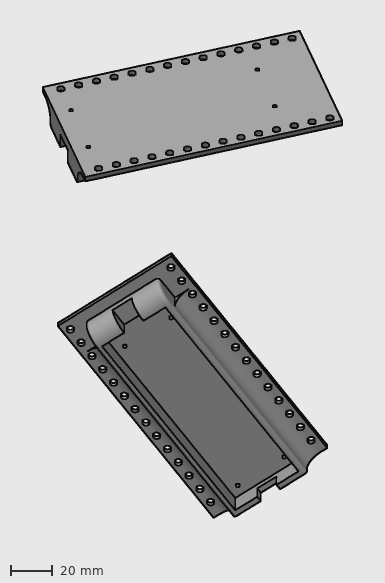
import cadquery as cq

plate_width = 67.0
plate_length = 130.0
plate_thickness = 3.0

total_height = 15.0
keel_width = 43.3
rear_overhang = 6.0
keel_length = plate_length - rear_overhang
rear_corner_radius = 10.0
keel_edge_radius = 2.0

flare_radius = 8.0
flare_rear_gap = 19.8
flare_length = plate_length - flare_rear_gap

keel_wall = 3.0
cavity_width = keel_width - 2 * keel_wall
cavity_length = keel_length - rear_corner_radius - keel_wall
cavity_depth = total_height - plate_thickness

slot_width = 11.3
slot_depth = 8.0

edge_hole_diameter = 3.6
edge_hole_count = 14
edge_row_length = 117.0
edge_row_spacing = 59.3
first_hole_y = 7.9
edge_hole_pitch = edge_row_length / (edge_hole_count - 1)

small_hole_diameter = 1.8
small_hole_spacing_x = 27.3
small_hole_spacing_y = 94.2


def make_plate():
    return cq.Workplane("XY").box(
        plate_width, plate_length, plate_thickness, centered=(True, False, False)
    ).translate((0, 0, -plate_thickness))


def make_keel():
    """Block with a large lower rear corner and a small round along its side edges."""
    keel = cq.Workplane("XY").box(
        keel_width, keel_length, total_height - plate_thickness, centered=(True, False, False)
    ).translate((0, 0, -total_height))
    keel = keel.faces(">Y").edges("<Z").fillet(rear_corner_radius)
    keel = keel.faces("<Z").edges("|Y").fillet(keel_edge_radius)
    return keel


def make_flare(side):
    """Concave flare on one keel side; side is -1 or 1."""
    wall_x = side * keel_width / 2
    plate_bottom = -plate_thickness
    outer_x = wall_x + side * flare_radius
    centre_z = plate_bottom - flare_radius
    strip_width = 2 * flare_radius
    strip = cq.Workplane("XY").box(
        strip_width, flare_length, flare_radius, centered=(True, False, False)
    ).translate((wall_x, 0, centre_z))
    scoop = (
        cq.Workplane("XZ")
        .center(outer_x, centre_z)
        .circle(flare_radius)
        .extrude(-flare_length)
    )
    return strip.cut(scoop)


def drill(points, diameter):
    return cq.Workplane("XY").pushPoints(points).circle(diameter / 2).extrude(-total_height)


result = make_plate().union(make_keel())
for side in (-1, 1):
    result = result.union(make_flare(side))

cavity = cq.Workplane("XY").box(
    cavity_width, cavity_length, cavity_depth, centered=(True, False, False)
).translate((0, keel_wall, -total_height))
result = result.cut(cavity)

slot = cq.Workplane("XY").box(
    slot_width, plate_length, slot_depth, centered=(True, False, False)
).translate((0, 0, -total_height))
result = result.cut(slot)

edge_holes = [
    (side * edge_row_spacing / 2, first_hole_y + index * edge_hole_pitch)
    for side in (-1, 1)
    for index in range(edge_hole_count)
]
small_holes = [
    (side * small_hole_spacing_x / 2, first_hole_y + offset)
    for side in (-1, 1)
    for offset in (0, small_hole_spacing_y)
]
result = result.cut(drill(edge_holes, edge_hole_diameter))
result = result.cut(drill(small_holes, small_hole_diameter))